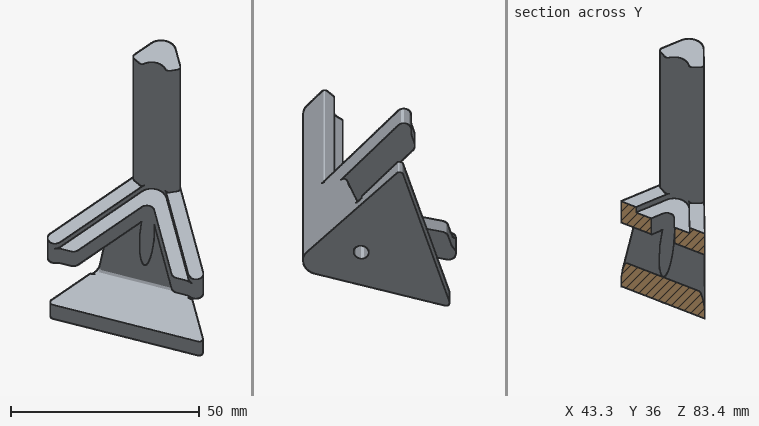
import cadquery as cq
import math

HALF_ANGLE_DEGREES = 30
HALF_ANGLE = math.radians(HALF_ANGLE_DEGREES)
SLOPE = math.tan(HALF_ANGLE)

FORWARD = -90
BACKWARD = 90
OUTWARD = HALF_ANGLE_DEGREES
INWARD = OUTWARD - 180
ALONG_ARM = OUTWARD - 90

INNER_TIP_Y = 4.0
STEP_TIP_Y = 12.0
OUTER_TIP_Y = 20.0
TIP_RADIUS = 4.0
HOLE_DIAMETER = 4.0
HOLE_RADIUS = HOLE_DIAMETER / 2

TOTAL_HEIGHT = 83.4
COLUMN_HEIGHT = 50.0
ARM_HEIGHT = 8.0
STEP_DEPTH = 2.0
ARM_TOP_Z = TOTAL_HEIGHT - COLUMN_HEIGHT
ARM_BOTTOM_Z = ARM_TOP_Z - ARM_HEIGHT
BASE_TOP_Z = 5.8

ARM_END_Y = -20.04
ARM_END_RADIUS = 2.0
ARM_LAND_Y = -19.52
ARM_BLEND_RADIUS = 4.0
ARM_CORNER_RADIUS = 2.0

STEP_BEND_Y = -18.66
STEP_EXIT_ANGLE = -107

COLUMN_EDGE_RADIUS = 1.0

BASE_FRONT_Y = -18.1
UNDERSIDE_ANGLE = math.radians(7)
LEG_TOP_Y = 0.9
LEG_BOTTOM_Y = -3.2
BASE_CORNER_RADIUS = 1.0
LEG_FILLET_RADIUS = 1.0
LEG_FILLET_END_Y = -4.6

OUTER_APEX_Y = OUTER_TIP_Y - TIP_RADIUS

MATCH_TOLERANCE = 0.01


def polar(center, radius, degrees):
    angle = math.radians(degrees)
    return (center[0] + radius * math.cos(angle), center[1] + radius * math.sin(angle))


def half_width(tip_y, y):
    """X of the +X side of the V with the given tip, at the given Y."""
    return (tip_y - y) * SLOPE


def tip_round(tip_y, radius):
    """Tangent point, middle and top of the round at a V tip, on the +X half."""
    center = (0, tip_y - radius / math.sin(HALF_ANGLE))
    directions = (OUTWARD, (OUTWARD + BACKWARD) / 2, BACKWARD)
    return [polar(center, radius, direction) for direction in directions]


def fillet_vertical(body, points, radius):
    """Round the vertical edges that pass through the given (x, y) points."""

    def is_chosen(edge):
        place = edge.Center().toTuple()[:2]
        return any(math.dist(place, point) < MATCH_TOLERANCE for point in points)

    edges = [edge for edge in body.edges("|Z").vals() if is_chosen(edge)]
    return body.newObject(edges).fillet(radius)


def mirrored(half):
    """Join the +X half with its mirror image."""
    return half.union(half.mirror("YZ"))


def make_wedge(front_y):
    """Prism up to the arms with the outer V outline, closed by a flat front."""
    front_x = half_width(OUTER_TIP_Y, front_y)
    tip = (0, OUTER_TIP_Y)
    outline = [tip, (front_x, front_y), (-front_x, front_y)]
    body = cq.Workplane("XY").polyline(outline).close().extrude(ARM_BOTTOM_Z)
    return fillet_vertical(body, [tip], TIP_RADIUS)


def make_base():
    """Front plate, from the end of the leg root to the base front."""
    front_x = half_width(OUTER_TIP_Y, BASE_FRONT_Y)
    back_x = half_width(OUTER_TIP_Y, LEG_FILLET_END_Y)
    front_corners = [(front_x, BASE_FRONT_Y), (-front_x, BASE_FRONT_Y)]
    outline = front_corners + [(-back_x, LEG_FILLET_END_Y), (back_x, LEG_FILLET_END_Y)]
    base = cq.Workplane("XY").polyline(outline).close().extrude(BASE_TOP_Z)
    return fillet_vertical(base, front_corners, BASE_CORNER_RADIUS)


def make_leg():
    """Leaning leg with its root; the side edges are rounded down through the root fillet."""
    profile = [
        (LEG_FILLET_END_Y, 0),
        (LEG_FILLET_END_Y, BASE_TOP_Z),
        (LEG_BOTTOM_Y, BASE_TOP_Z),
        (LEG_TOP_Y, ARM_BOTTOM_Z),
        (OUTER_APEX_Y, ARM_BOTTOM_Z),
        (OUTER_APEX_Y, 0),
    ]
    span = half_width(OUTER_TIP_Y, LEG_FILLET_END_Y)
    slab = cq.Workplane("YZ").polyline(profile).close().extrude(span, both=True)
    leg = slab.intersect(make_wedge(LEG_FILLET_END_Y))

    root = cq.selectors.NearestToPointSelector((0, LEG_BOTTOM_Y, BASE_TOP_Z))
    leg = leg.edges(root).fillet(LEG_FILLET_RADIUS)

    middle_y = (LEG_TOP_Y + LEG_BOTTOM_Y) / 2
    middle_x = half_width(OUTER_TIP_Y, middle_y)
    middle_z = (ARM_BOTTOM_Z + BASE_TOP_Z) / 2
    for x in (-middle_x, middle_x):
        side_edge = cq.selectors.NearestToPointSelector((x, middle_y, middle_z))
        leg = leg.edges(side_edge).fillet(LEG_FILLET_RADIUS)
    return leg


def make_underside_cut():
    """Wedge below the sloped underside, which rises from the base front to the apex."""
    depth = OUTER_APEX_Y - BASE_FRONT_Y
    profile = [(BASE_FRONT_Y, 0), (OUTER_APEX_Y, 0), (OUTER_APEX_Y, depth * math.tan(UNDERSIDE_ANGLE))]
    span = half_width(OUTER_TIP_Y, BASE_FRONT_Y)
    return cq.Workplane("YZ").polyline(profile).close().extrude(span, both=True)


def make_arms():
    """Two arms in a V, with the inner half of each one stepped down."""
    end_tip_y = (OUTER_TIP_Y + STEP_TIP_Y) / 2
    end_y = ARM_END_Y + ARM_END_RADIUS
    end = (half_width(end_tip_y, end_y), end_y)

    blend_y = ARM_LAND_Y - ARM_BLEND_RADIUS
    reach = ARM_END_RADIUS + ARM_BLEND_RADIUS
    blend_angle = -180 - math.degrees(math.asin((blend_y - end_y) / reach))
    blend = polar(end, reach, blend_angle)

    corner_y = ARM_LAND_Y + ARM_CORNER_RADIUS
    corner_x = half_width(INNER_TIP_Y, corner_y) + ARM_CORNER_RADIUS / math.cos(HALF_ANGLE)
    corner = (corner_x, corner_y)

    outer_start, outer_mid, outer_top = tip_round(OUTER_TIP_Y, TIP_RADIUS)
    step_start, step_mid, step_top = tip_round(STEP_TIP_Y, TIP_RADIUS)
    inner_start, inner_mid, inner_top = tip_round(INNER_TIP_Y, HOLE_RADIUS)

    lower = (
        cq.Workplane("XY", origin=(0, 0, ARM_BOTTOM_Z))
        .moveTo(*outer_top)
        .threePointArc(outer_mid, outer_start)
        .lineTo(*polar(end, ARM_END_RADIUS, OUTWARD))
        .threePointArc(polar(end, ARM_END_RADIUS, ALONG_ARM), polar(end, ARM_END_RADIUS, blend_angle))
        .threePointArc(
            polar(blend, ARM_BLEND_RADIUS, (blend_angle + 180 + BACKWARD) / 2),
            polar(blend, ARM_BLEND_RADIUS, BACKWARD),
        )
        .lineTo(corner_x, ARM_LAND_Y)
        .threePointArc(
            polar(corner, ARM_CORNER_RADIUS, (FORWARD + INWARD) / 2),
            polar(corner, ARM_CORNER_RADIUS, INWARD),
        )
        .lineTo(*inner_start)
        .threePointArc(inner_mid, inner_top)
        .close()
        .extrude(ARM_HEIGHT - STEP_DEPTH)
    )
    upper = (
        cq.Workplane("XY", origin=(0, 0, ARM_TOP_Z - STEP_DEPTH))
        .moveTo(*step_top)
        .threePointArc(step_mid, step_start)
        .lineTo(half_width(STEP_TIP_Y, STEP_BEND_Y), STEP_BEND_Y)
        .tangentArcPoint(polar(end, ARM_END_RADIUS, STEP_EXIT_ANGLE), relative=False)
        .threePointArc(polar(end, ARM_END_RADIUS, ALONG_ARM), polar(end, ARM_END_RADIUS, OUTWARD))
        .lineTo(*outer_start)
        .threePointArc(outer_mid, outer_top)
        .close()
        .extrude(STEP_DEPTH)
    )
    return mirrored(lower.union(upper))


def make_column():
    """Constant section between the outer V and the step V, cut square to the arms."""
    inner, _, inner_top = tip_round(STEP_TIP_Y, TIP_RADIUS)
    thickness = (OUTER_TIP_Y - STEP_TIP_Y) * math.sin(HALF_ANGLE)
    outer = polar(inner, thickness, OUTWARD)
    tip = (0, OUTER_TIP_Y)
    inner_left = (-inner[0], inner[1])
    outer_left = (-outer[0], outer[1])
    column = (
        cq.Workplane("XY", origin=(0, 0, ARM_TOP_Z))
        .moveTo(*tip)
        .lineTo(*outer)
        .lineTo(*inner)
        .threePointArc(inner_top, inner_left)
        .lineTo(*outer_left)
        .close()
        .extrude(COLUMN_HEIGHT)
    )
    column = fillet_vertical(column, [tip], TIP_RADIUS)
    return fillet_vertical(column, [inner, outer, inner_left, outer_left], COLUMN_EDGE_RADIUS)


def make_hole():
    """Vertical hole through the leg and base, concentric with the inner V round."""
    return cq.Workplane("XY").circle(HOLE_RADIUS).extrude(ARM_TOP_Z)


result = make_base().union(make_leg()).cut(make_underside_cut())
result = result.union(make_arms()).union(make_column()).cut(make_hole())